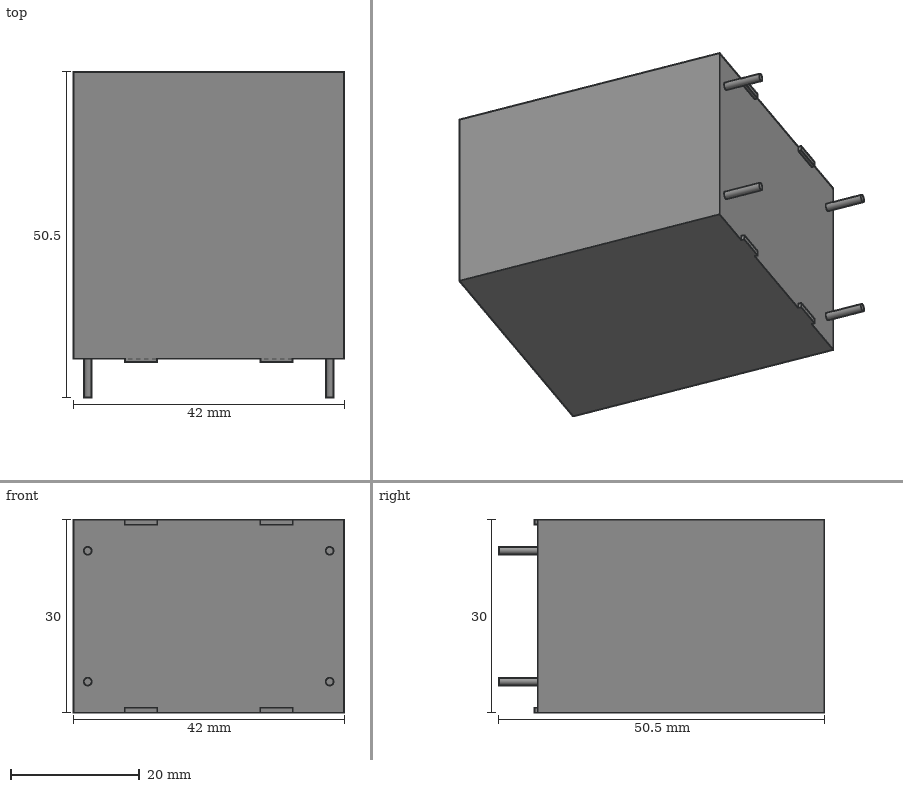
import cadquery as cq

width = 42.0
total_depth = 50.5
height = 30.0

pin_length = 6.0
pin_diameter = 1.2
pin_spacing_x = 37.5
pin_spacing_z = 20.3

foot_width = 5.0
foot_height = 0.8
foot_depth = 0.5
foot_spacing_x = 21.0

case_depth = total_depth - pin_length


def make_case():
    """Plain box whose pin face lies in the plane Y = 0."""
    return cq.Workplane("XY").box(width, case_depth, height, centered=(True, False, True))


def make_pins():
    """Four round pins standing on the pin face."""
    return (
        cq.Workplane("XZ")
        .rarray(pin_spacing_x, pin_spacing_z, 2, 2)
        .circle(pin_diameter / 2)
        .extrude(pin_length)
    )


def make_feet():
    """Four low rectangular feet along the long edges of the pin face."""
    return (
        cq.Workplane("XZ")
        .rarray(foot_spacing_x, height - foot_height, 2, 2)
        .rect(foot_width, foot_height)
        .extrude(foot_depth)
    )


result = make_case().union(make_pins()).union(make_feet())